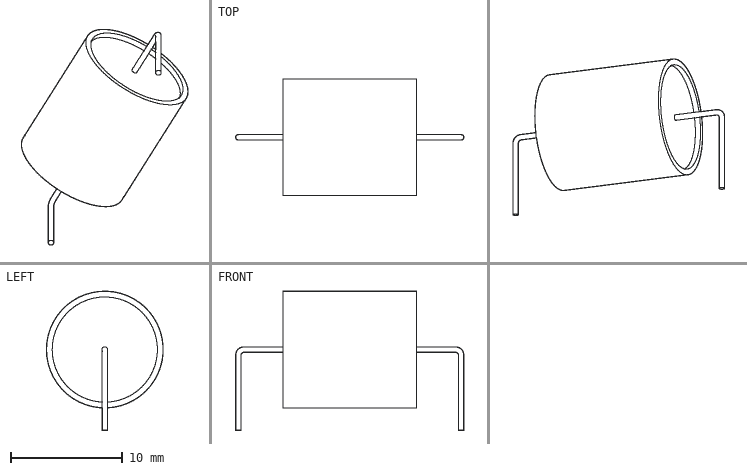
import cadquery as cq

body_diameter = 10.5
body_length = 12.0
recess_diameter = 9.45
recess_depth = 0.5

lead_diameter = 0.5
lead_pitch = 20.0
lead_bend_radius = 0.5
lead_below_body = 2.0

axis_height = body_diameter / 2
recess_floor_x = body_length / 2 - recess_depth
lead_x = lead_pitch / 2
bend_start_x = lead_x - lead_bend_radius
bend_end_z = axis_height - lead_bend_radius


def x_cylinder(diameter, start_x, end_x):
    """Cylinder on the can's axis between two X positions."""
    return (
        cq.Workplane("YZ", origin=(start_x, 0, axis_height))
        .circle(diameter / 2)
        .extrude(end_x - start_x)
    )


def make_body():
    """Can with a shallow round recess in each end."""
    can = x_cylinder(body_diameter, -body_length / 2, body_length / 2)
    right_recess = x_cylinder(recess_diameter, recess_floor_x, body_length / 2)
    left_recess = right_recess.mirror("YZ")
    return can.cut(right_recess).cut(left_recess)


def make_right_lead():
    """Wire that leaves the recess floor along X, bends and runs straight down."""
    root_x = recess_floor_x - lead_diameter
    straight = x_cylinder(lead_diameter, root_x, bend_start_x)
    bend = (
        cq.Workplane("YZ", origin=(bend_start_x, 0, axis_height))
        .circle(lead_diameter / 2)
        .revolve(90, (0, -lead_bend_radius), (1, -lead_bend_radius))
    )
    leg = (
        cq.Workplane("XY", origin=(lead_x, 0, -lead_below_body))
        .circle(lead_diameter / 2)
        .extrude(bend_end_z + lead_below_body)
    )
    return straight.union(bend).union(leg)


right_lead = make_right_lead()
left_lead = right_lead.mirror("YZ")
result = make_body().union(right_lead).union(left_lead)